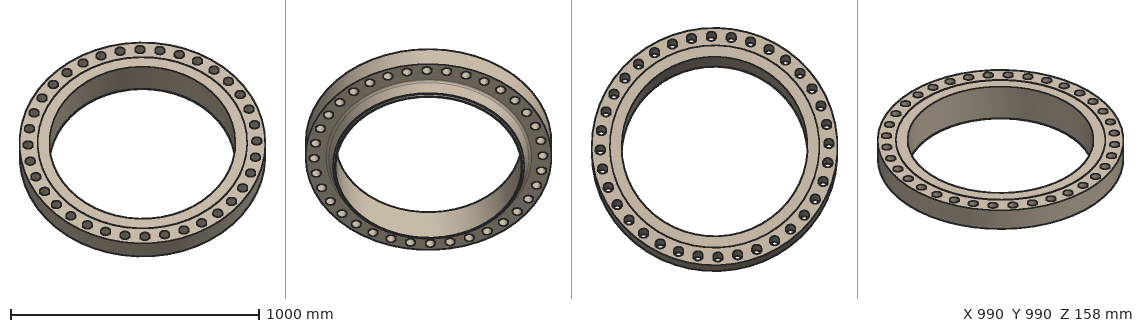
import cadquery as cq
import math

flange_radius = 495.0
total_height = 158.0
bore_radius = 374.0

face_radius = 422.0
face_height = 2.0

flange_thickness = 92.0
flange_top = total_height - face_height
flange_bottom = flange_top - flange_thickness

collar_radius = 385.0
collar_top = 12.0
chamfer_height = 6.0
chamfer_width = 7.0
hub_angle = math.radians(22)
root_fillet = 12.0

hole_count = 36
hole_diameter = 39.0
bolt_circle_radius = 461.0

root_corner_radius = collar_radius + (flange_bottom - collar_top) * math.tan(hub_angle)
tangent_length = root_fillet * math.tan((math.pi / 2 - hub_angle) / 2)
fillet_center = (root_corner_radius + tangent_length, flange_bottom - root_fillet)
fillet_mid_angle = (math.pi / 2 + math.pi - hub_angle) / 2


def fillet_point(angle):
    return (
        fillet_center[0] + root_fillet * math.cos(angle),
        fillet_center[1] + root_fillet * math.sin(angle),
    )


def make_body():
    """Revolve the half section (radius, height) about the Z axis."""
    return (
        cq.Workplane("XZ")
        .moveTo(bore_radius, 0)
        .lineTo(collar_radius - chamfer_width, 0)
        .lineTo(collar_radius, chamfer_height)
        .lineTo(collar_radius, collar_top)
        .lineTo(*fillet_point(math.pi - hub_angle))
        .threePointArc(fillet_point(fillet_mid_angle), fillet_point(math.pi / 2))
        .lineTo(flange_radius, flange_bottom)
        .lineTo(flange_radius, flange_top)
        .lineTo(face_radius, flange_top)
        .lineTo(face_radius, total_height)
        .lineTo(bore_radius, total_height)
        .close()
        .revolve(360, (0, 0, 0), (0, 1, 0))
    )


def make_bolt_holes():
    """Through holes evenly spaced on the bolt circle, starting on the X axis."""
    return (
        cq.Workplane("XY")
        .polarArray(bolt_circle_radius, 0, 360, hole_count)
        .circle(hole_diameter / 2)
        .extrude(total_height)
    )


result = make_body().cut(make_bolt_holes())